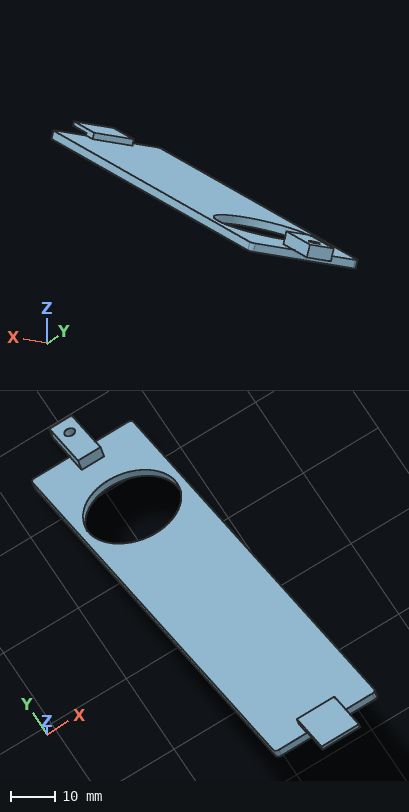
import cadquery as cq

PLATE_WIDTH = 27.0
PLATE_LENGTH = 118.8
PLATE_THICKNESS = 2.0
CORNER_RADIUS = 1.0

OPENING_DIAMETER = 23.0
OPENING_FROM_END = 24.8

TAB_WIDTH = 10.0
TAB_LENGTH = 12.0
TAB_THICKNESS = 1.0
TAB_OVERHANG = 8.0
TAB_STEP_HEIGHT = 0.5

BLOCK_WIDTH = 6.0
BLOCK_LENGTH = 14.0
BLOCK_THICKNESS = 3.0
BLOCK_OVERHANG = 8.2
PIN_HOLE_DIAMETER = 2.53
PIN_HOLE_FROM_END = 4.5

TILT_ANGLE = 30.46

PLATE_END = PLATE_LENGTH / 2


def make_plate():
    """Flat plate with rounded corners and the large round opening."""
    plate = cq.Workplane("XY").box(
        PLATE_WIDTH, PLATE_LENGTH, PLATE_THICKNESS, centered=(True, True, False)
    )
    plate = plate.edges("|Z").fillet(CORNER_RADIUS)
    opening = (
        cq.Workplane("XY")
        .center(0, PLATE_END - OPENING_FROM_END)
        .circle(OPENING_DIAMETER / 2)
        .extrude(PLATE_THICKNESS)
    )
    return plate.cut(opening)


def make_bar(width, length, thickness, start_y, base_z):
    """Rectangular bar centred on X, running towards +Y from start_y."""
    return (
        cq.Workplane("XY", origin=(0, start_y + length / 2, base_z))
        .box(width, length, thickness, centered=(True, True, False))
    )


def make_tab():
    """Thin tab at the -Y end, with a step under it that ends flush with the plate."""
    step_length = TAB_LENGTH - TAB_OVERHANG
    step = make_bar(TAB_WIDTH, step_length, TAB_STEP_HEIGHT, -PLATE_END, PLATE_THICKNESS)
    tab = make_bar(
        TAB_WIDTH,
        TAB_LENGTH,
        TAB_THICKNESS,
        -PLATE_END - TAB_OVERHANG,
        PLATE_THICKNESS + TAB_STEP_HEIGHT,
    )
    return tab.union(step)


def make_block():
    """Thick block at the +Y end with a through hole in its overhang."""
    block_end = PLATE_END + BLOCK_OVERHANG
    block_start = block_end - BLOCK_LENGTH
    block = make_bar(BLOCK_WIDTH, BLOCK_LENGTH, BLOCK_THICKNESS, block_start, PLATE_THICKNESS)
    pin_hole = (
        cq.Workplane("XY", origin=(0, block_end - PIN_HOLE_FROM_END, PLATE_THICKNESS))
        .circle(PIN_HOLE_DIAMETER / 2)
        .extrude(BLOCK_THICKNESS)
    )
    return block.cut(pin_hole)


flat_part = make_plate().union(make_tab()).union(make_block())
result = flat_part.rotate((0, 0, 0), (1, 0, 0), -TILT_ANGLE)